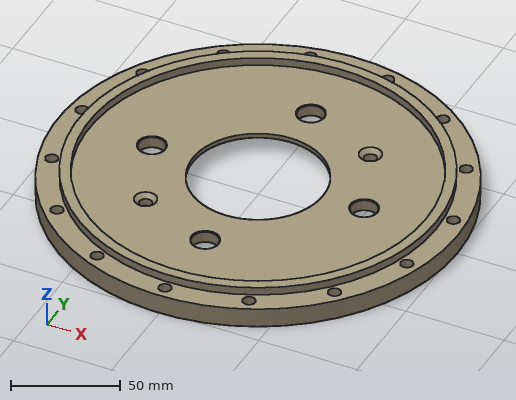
import cadquery as cq

outer_diameter = 203.0
flange_thickness = 10.0
rim_height = 4.0
rim_outer_diameter = 181.0
rim_inner_diameter = 170.7
total_height = flange_thickness + rim_height

pocket_depth = 4.0
web_thickness = 6.0
web_top = total_height - pocket_depth
recess_depth = web_top - web_thickness
recess_diameter = rim_inner_diameter

bore_diameter = 66.0
bore_lip_thickness = 2.5
counterbore_diameter = 85.3

flange_hole_count = 15
flange_hole_diameter = 6.0
flange_hole_circle = 190.0
flange_first_angle = -90.0

bolt_circle = 108.0
bolt_count = 4
bolt_hole_diameter = 13.0
bolt_chamfer = 0.5
bolt_chamfer_angle = 90.0
screw_count = 2
screw_first_angle = 45.0
screw_hole_diameter = 6.3
countersink_diameter = 10.8
countersink_angle = 90.0


def disc(diameter, bottom, height):
    """Solid cylinder on the Z axis."""
    return cq.Workplane("XY").workplane(offset=bottom).circle(diameter / 2).extrude(height)


def hole_ring(body, level, circle_diameter, first_angle, count):
    """Select evenly spaced hole centers on a horizontal plane."""
    plane = body.copyWorkplane(cq.Workplane("XY", origin=(0, 0, level)))
    return plane.polarArray(circle_diameter / 2, first_angle, 360, count)


body = disc(outer_diameter, 0, flange_thickness)
body = body.union(disc(rim_outer_diameter, flange_thickness, rim_height))
body = body.cut(disc(rim_inner_diameter, web_top, pocket_depth))
body = body.cut(disc(recess_diameter, 0, recess_depth))

body = body.cut(disc(bore_diameter, 0, total_height))
body = body.cut(disc(counterbore_diameter, 0, web_top - bore_lip_thickness))

flange_holes = hole_ring(body, flange_thickness, flange_hole_circle, flange_first_angle, flange_hole_count)
body = flange_holes.hole(flange_hole_diameter)

bolt_mouth_diameter = bolt_hole_diameter + 2 * bolt_chamfer
body = hole_ring(body, web_top, bolt_circle, 0, bolt_count).cskHole(
    bolt_hole_diameter, bolt_mouth_diameter, bolt_chamfer_angle
)

body = hole_ring(body, web_top, bolt_circle, screw_first_angle, screw_count).cskHole(
    screw_hole_diameter, countersink_diameter, countersink_angle
)

result = body